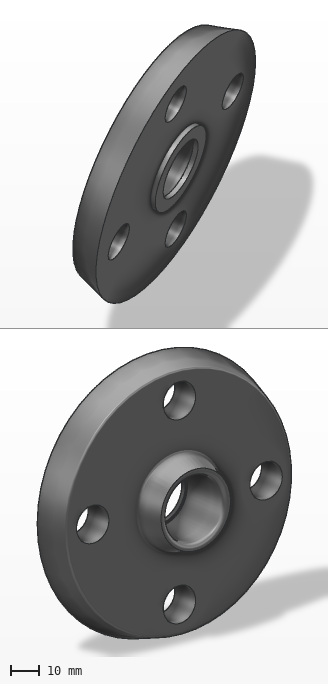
import cadquery as cq
import math

neck_length = 9.5
plate_thickness = 12.1
raised_height = 2.0
raised_end_x = plate_thickness + raised_height

plate_diameter = 105.0
plate_front_diameter = 97.4
plate_edge_fillet = 1.0
raised_diameter = 33.5

neck_end_diameter = 30.0
neck_base_diameter = 36.3
neck_sag = 0.16
neck_root_fillet = 1.0

bore_diameter = 25.0
lip_diameter = 23.0
bore_mouth_fillet = 1.7

bolt_hole_count = 4
bolt_hole_diameter = 14.0
bolt_circle_diameter = 75.0


def neck_flare_middle():
    """Middle point of the neck's flare arc, off its chord toward the axis."""
    end_radius = neck_end_diameter / 2
    base_radius = neck_base_diameter / 2
    chord = math.hypot(neck_length, base_radius - end_radius)
    return (
        -neck_length / 2 + neck_sag * (base_radius - end_radius) / chord,
        (end_radius + base_radius) / 2 - neck_sag * neck_length / chord,
    )


def make_blank():
    """Solid of revolution: flared neck, conical plate and raised face."""
    return (
        cq.Workplane("XY")
        .moveTo(-neck_length, 0)
        .lineTo(-neck_length, neck_end_diameter / 2)
        .threePointArc(neck_flare_middle(), (0, neck_base_diameter / 2))
        .lineTo(0, plate_front_diameter / 2)
        .lineTo(plate_thickness, plate_diameter / 2)
        .lineTo(plate_thickness, raised_diameter / 2)
        .lineTo(raised_end_x, raised_diameter / 2)
        .lineTo(raised_end_x, 0)
        .close()
        .revolve(360, (0, 0, 0), (1, 0, 0))
    )


def round_plate_front(body):
    """Fillet the plate's front edge and the corner where the neck meets the plate."""
    front_face = cq.selectors.CenterNthSelector(cq.Vector(1, 0, 0), 1)
    inner_circle = cq.selectors.RadiusNthSelector(0)
    outer_circle = cq.selectors.RadiusNthSelector(-1)
    body = body.faces("%PLANE").faces(front_face).edges(outer_circle).fillet(plate_edge_fillet)
    return body.faces("%PLANE").faces(front_face).edges(inner_circle).fillet(neck_root_fillet)


def cut_bore(body):
    """Stepped bore along the axis with a rounded mouth at the neck end."""
    wide_length = neck_length + plate_thickness
    neck_end = cq.Workplane("YZ", origin=(-neck_length, 0, 0))
    wide_bore = neck_end.circle(bore_diameter / 2).extrude(wide_length)
    narrow_bore = neck_end.circle(lip_diameter / 2).extrude(wide_length + raised_height)
    bored = body.cut(wide_bore).cut(narrow_bore)
    mouth_edge = cq.selectors.RadiusNthSelector(0)
    return bored.faces("<X").edges(mouth_edge).fillet(bore_mouth_fillet)


def cut_bolt_holes(body):
    """Through holes evenly spaced on the bolt circle, one of them on the +Y axis."""
    holes = (
        cq.Workplane("YZ")
        .polarArray(bolt_circle_diameter / 2, 0, 360, bolt_hole_count)
        .circle(bolt_hole_diameter / 2)
        .extrude(plate_thickness)
    )
    return body.cut(holes)


result = cut_bolt_holes(cut_bore(round_plate_front(make_blank())))